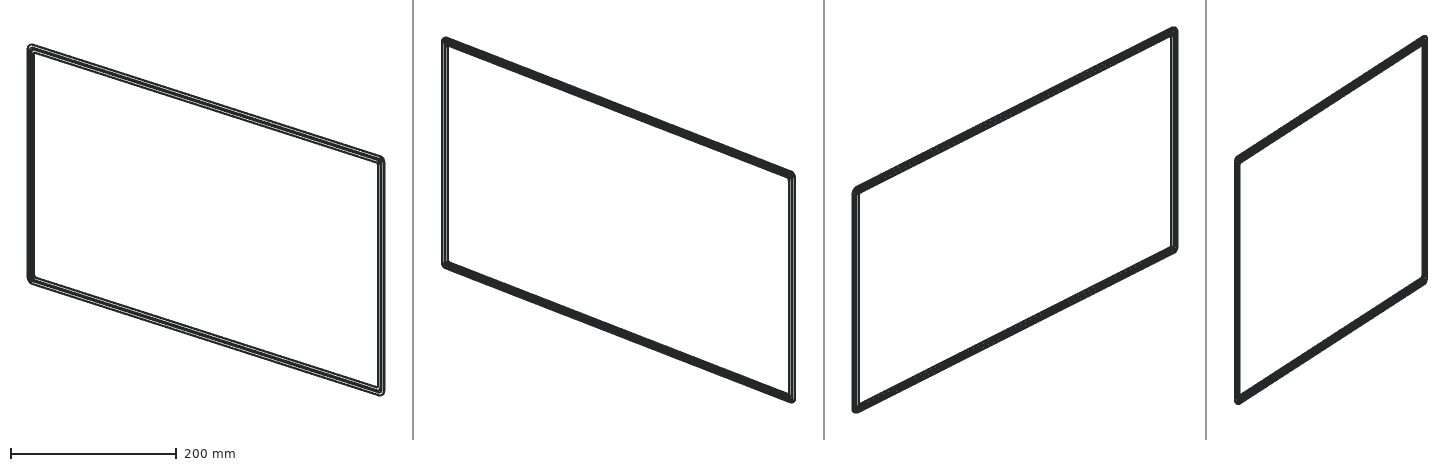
import cadquery as cq
import math

LENGTH = 559.5
HEIGHT = 313.0
THICKNESS = 3.2

BAND = 4.0
GAP = 1.5

BEVEL_DEPTH = 1.9
BEVEL_WIDTH = 1.25

OUTER_FRAME_RADIUS = 8.0
INNER_FRAME_RADIUS = 5.5


FRONT_PLANE = cq.Plane(origin=(0, -THICKNESS / 2, 0), xDir=(1, 0, 0), normal=(0, 1, 0))


def rounded_block(inset, corner_radius, bevel_angle):
    """Rounded rectangular block, straight at the front and tapered at the back.

    A positive bevel angle narrows the block toward the back; a negative one widens it.
    """
    outline = (
        cq.Sketch()
        .rect(LENGTH - 2 * inset, HEIGHT - 2 * inset)
        .vertices()
        .fillet(corner_radius)
    )
    straight_depth = THICKNESS - BEVEL_DEPTH
    front_part = cq.Workplane(FRONT_PLANE).placeSketch(outline).extrude(straight_depth)
    back_part = (
        cq.Workplane(FRONT_PLANE)
        .workplane(offset=straight_depth)
        .placeSketch(outline)
        .extrude(BEVEL_DEPTH, taper=bevel_angle)
    )
    return front_part.union(back_part)


def make_frame(inset, corner_radius):
    """Ring with rounded corners and both of its back edges beveled."""
    bevel_angle = math.degrees(math.atan2(BEVEL_WIDTH, BEVEL_DEPTH))
    plate = rounded_block(inset, corner_radius, bevel_angle)
    opening = rounded_block(inset + BAND, corner_radius - BAND, -bevel_angle)
    return plate.cut(opening)


outer_frame = make_frame(0, OUTER_FRAME_RADIUS)

inner_frame = make_frame(BAND + GAP, INNER_FRAME_RADIUS)

result = cq.Compound.makeCompound([outer_frame.val(), inner_frame.val()])